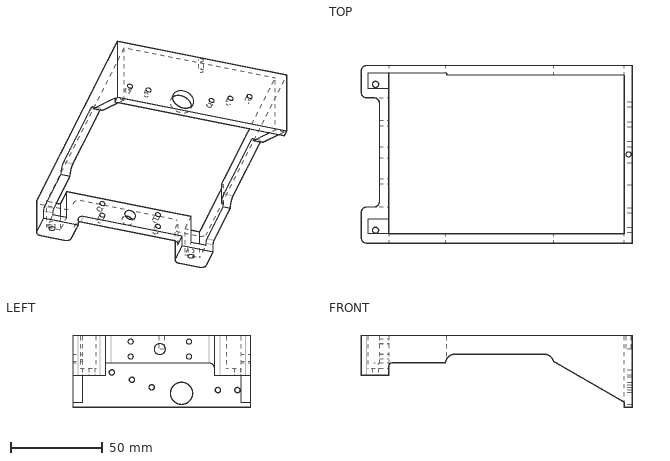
import cadquery as cq
import math

length = 148.7
width = 97.5
height = 39.5
side_wall = 5.4
end_wall = 4.5
corner_radius = 3.0

foot_length = 15.2
foot_height = 22.0
crossbar_thickness = 5.2
crossbar_height = 15.2
bay_center_y = 1.0
bay_width = 59.8
foot_wall = 3.7
foot_floor = 3.7
pocket_inner_offset = 35.8
pocket_center_y = 0.3
foot_hole_diameter = 3.3
foot_hole_x = 7.9
foot_hole_ys = (38.4, -41.6)

thin_wall = 4.2
thin_end_x = 46.8

foot_fillet = 1.8
arch_start_x = 46.2
arch_end_x = 105.6
arch_top = 10.4
arch_radius = 5.2
ramp_start_x = 104.1
ramp_angle = 30.0
lip_height = 2.8

screw_diameter = 2.8
crossbar_bore_diameter = 6.1
crossbar_bore_z = -7.6
crossbar_screw_spacing_y = 32.0
crossbar_screw_spacing_z = 8.2
end_bore_diameter = 12.0
end_bore = (-10.9, -31.8)
end_screws = ((27.4, -20.4), (16.4, -24.4), (5.5, -28.5), (-30.8, -30.0), (-41.5, -30.0))
top_hole_x = 146.6
top_hole_depth = 7.5

clearance = 1.5


def block(x_range, y_range, z_range):
    """Box spanning the given X, Y and Z ranges."""
    spans = (x_range, y_range, z_range)
    sizes = [high - low for low, high in spans]
    origin = tuple(low for low, high in spans)
    return cq.Workplane("XY").box(*sizes, centered=False).translate(origin)


def holes_along_x(points, diameter, x_start, x_end):
    """Cylinders along X centred on the given (y, z) points."""
    plane = cq.Workplane("YZ", origin=(x_start, 0, 0))
    return plane.pushPoints(points).circle(diameter / 2).extrude(x_end - x_start)


def frame_body():
    """Full-height rectangular frame with the two footed-end corners rounded."""
    body = block((0, length), (-width / 2, width / 2), (-height, 0))
    body = body.edges("|Z and <X").fillet(corner_radius)
    opening = block(
        (foot_length, length - end_wall),
        (-width / 2 + side_wall, width / 2 - side_wall),
        (-height - clearance, clearance),
    )
    return body.cut(opening)


def underside_cut():
    """Stepped, arched and ramped space below the side walls."""
    bottom = -height - clearance
    lip_x = length - end_wall
    lip_z = -height + lip_height
    ramp_start_z = lip_z + (lip_x - ramp_start_x) * math.tan(math.radians(ramp_angle))
    profile = [
        (foot_length, bottom),
        (foot_length, -crossbar_height),
        (arch_start_x + arch_radius, -crossbar_height),
        (ramp_start_x, ramp_start_z),
        (lip_x, lip_z),
        (lip_x, bottom),
    ]
    plane = cq.Workplane("XZ", origin=(0, width / 2 + clearance, 0))
    depth = width + 2 * clearance
    steps = plane.polyline(profile).close().extrude(depth)
    steps = steps.edges("|Y").edges(
        cq.selectors.NearestToPointSelector((foot_length, 0, -crossbar_height))
    ).fillet(foot_fillet)
    arch_center = ((arch_start_x + arch_end_x) / 2, -arch_top - arch_radius)
    arch = plane.center(*arch_center).slot2D(arch_end_x - arch_start_x, 2 * arch_radius).extrude(depth)
    below_feet = block(
        (-clearance, foot_length), (-width / 2, width / 2), (bottom, -foot_height)
    )
    return steps.union(arch).union(below_feet)


def bay_cut():
    """Recess in front of the crossbar and the opening below it."""
    y_range = (bay_center_y - bay_width / 2, bay_center_y + bay_width / 2)
    front_x = foot_length - crossbar_thickness
    recess = block((0, front_x), y_range, (-height, clearance))
    recess = recess.edges("|Z and >X").fillet(corner_radius)
    below = block((0, foot_length + clearance), y_range, (-height, -crossbar_height))
    below = below.edges("|X and >Z and <Y").fillet(corner_radius)
    return recess.union(below)


def foot_pockets():
    """Pockets in the feet, open on top and toward the frame opening, with floor holes."""
    x_range = (foot_wall, foot_length)
    z_range = (-foot_height + foot_floor, clearance)
    upper = (pocket_center_y + pocket_inner_offset, width / 2 - thin_wall)
    lower = (-width / 2 + side_wall, pocket_center_y - pocket_inner_offset)
    pockets = block(x_range, upper, z_range).union(block(x_range, lower, z_range))
    hole_points = [(foot_hole_x, y) for y in foot_hole_ys]
    plane = cq.Workplane("XY", origin=(0, 0, -height))
    hole_length = height - foot_height + foot_floor
    holes = plane.pushPoints(hole_points).circle(foot_hole_diameter / 2).extrude(hole_length)
    return pockets.union(holes)


def thin_wall_cut():
    """Shallow relief on the inside of the +Y wall."""
    outer_y = width / 2
    return block(
        (foot_length, thin_end_x),
        (outer_y - side_wall - clearance, outer_y - thin_wall),
        (-height, clearance),
    )


def crossbar_holes():
    """Centre bore and four screw holes through the crossbar."""
    screws = [
        (
            bay_center_y + side_y * crossbar_screw_spacing_y / 2,
            crossbar_bore_z + side_z * crossbar_screw_spacing_z / 2,
        )
        for side_y in (-1, 1)
        for side_z in (-1, 1)
    ]
    x_end = foot_length + clearance
    bore = holes_along_x([(bay_center_y, crossbar_bore_z)], crossbar_bore_diameter, 0, x_end)
    return bore.union(holes_along_x(screws, screw_diameter, 0, x_end))


def end_wall_holes():
    """Bore and screw holes through the tall end wall, and a blind hole in its top."""
    x_start = length - end_wall - clearance
    x_end = length + clearance
    bore = holes_along_x([end_bore], end_bore_diameter, x_start, x_end)
    screws = holes_along_x(end_screws, screw_diameter, x_start, x_end)
    top_hole = cq.Workplane("XY").center(top_hole_x, 0).circle(screw_diameter / 2).extrude(-top_hole_depth)
    return bore.union(screws).union(top_hole)


def round_foot_corners(body):
    """Round the foot edges beside the crossbar recess."""
    for side in (-1, 1):
        corner = (0, bay_center_y + side * bay_width / 2, -foot_height / 2)
        body = body.edges(cq.selectors.NearestToPointSelector(corner)).fillet(corner_radius)
    return body


result = frame_body().cut(underside_cut()).cut(bay_cut())
result = round_foot_corners(result)
for cutter in (foot_pockets(), thin_wall_cut(), crossbar_holes(), end_wall_holes()):
    result = result.cut(cutter)